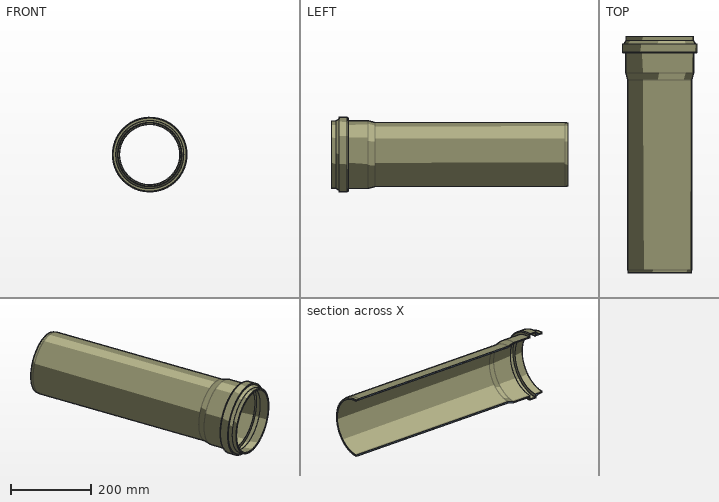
import cadquery as cq


bore_dia = 149.5
tube_dia = 160.0
tip_dia = 157.0
socket_dia = 169.5
socket_bore_dia = 161.0
lip_dia = 168.5
shoulder_dia = 178.5
bead_dia = 186.0
bead_heel_dia = 182.0
groove_dia = 178.5

length = 589.0
tip_length = 7.5
lip_length = 10.5
shoulder_length = 8.0
bead_length = 23.0
bead_chamfer = 3.0
socket_length = 91.0
neck_length = 17.5
groove_wall = (bead_dia - groove_dia) / 2

plain_end = -length / 2
mouth = length / 2
tip_top = plain_end + tip_length
neck_top = mouth - socket_length
neck_bottom = neck_top - neck_length
shoulder_top = mouth - lip_length
bead_top = shoulder_top - shoulder_length
bead_bottom = bead_top - bead_length
groove_top = bead_top - groove_wall
groove_bottom = bead_bottom + groove_wall


def revolve_profile(stations):
    """Solid of revolution about Y through (diameter, y) stations."""
    axis_start = (0, stations[0][1])
    axis_end = (0, stations[-1][1])
    rim = [(diameter / 2, y) for diameter, y in stations]
    profile = cq.Workplane("XY").polyline([axis_start, *rim, axis_end]).close()
    return profile.revolve(360, (0, 0, 0), (0, 1, 0))


outside = revolve_profile([
    (tip_dia, plain_end),
    (tube_dia, tip_top),
    (tube_dia, neck_bottom),
    (socket_dia, neck_top),
    (socket_dia, bead_bottom),
    (bead_heel_dia, bead_bottom),
    (bead_dia, bead_bottom + bead_chamfer),
    (bead_dia, bead_top),
    (shoulder_dia, bead_top),
    (lip_dia, shoulder_top),
    (lip_dia, mouth),
])

inside = revolve_profile([
    (bore_dia, plain_end),
    (bore_dia, neck_bottom),
    (socket_bore_dia, neck_top),
    (socket_bore_dia, groove_bottom),
    (groove_dia, groove_bottom),
    (groove_dia, groove_top),
    (socket_bore_dia, groove_top),
    (socket_bore_dia, mouth),
])

result = outside.cut(inside)